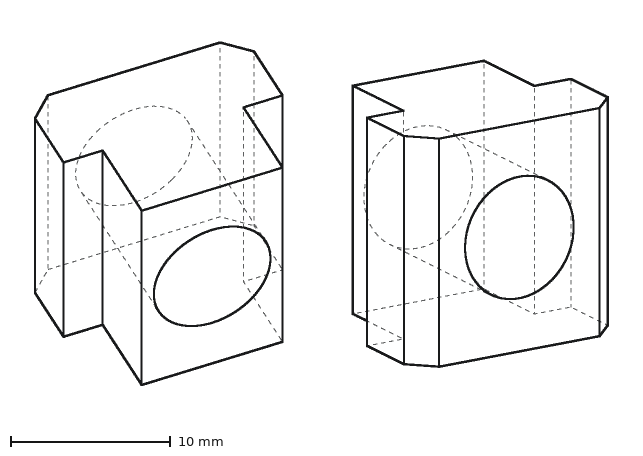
import cadquery as cq

height = 15.0
flange_width = 15.0
flange_thickness = 6.0
neck_width = 9.65
neck_length = 6.0
chamfer = 1.6
bore_diameter = 8.0

total_depth = flange_thickness + neck_length


def make_flange():
    """Wide plate with its two outer vertical edges chamfered."""
    plate = cq.Workplane("XY").box(
        flange_thickness, flange_width, height, centered=(False, True, True)
    )
    return plate.faces("<X").edges("|Z").chamfer(chamfer)


def make_neck():
    """Narrow block running the full depth, so it merges with the flange."""
    return cq.Workplane("XY").box(
        total_depth, neck_width, height, centered=(False, True, True)
    )


def make_bore():
    """Round through hole along X, centred on the part."""
    return cq.Workplane("YZ").circle(bore_diameter / 2).extrude(total_depth)


result = make_flange().union(make_neck()).cut(make_bore())